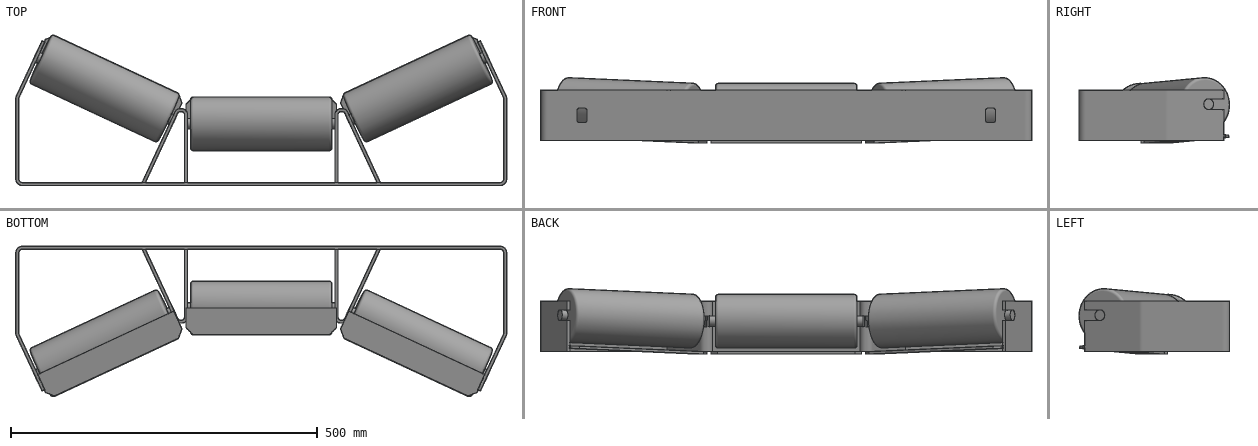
import cadquery as cq
import math

FRAME_LENGTH = 800.0
BAR_HEIGHT = 82.0
BAR_THICKNESS = 5.2
FRAME_BEND_RADIUS = 11.0
BRACKET_BEND_RADIUS = 10.0

MOUNT_SLOT_SPACING = 666.0
MOUNT_SLOT_WIDTH = 17.0
MOUNT_SLOT_HEIGHT = 24.0
MOUNT_SLOT_CORNER = 5.0

ROLLER_RADIUS = 44.0
ROLLER_LENGTH = 230.0
ROLLER_END_FILLET = 5.0
SHAFT_DIAMETER = 18.0
SUPPORT_GAP = 5.0
WALL_DISTANCE = ROLLER_LENGTH / 2 + SUPPORT_GAP
SHAFT_LENGTH = 2 * (WALL_DISTANCE + BAR_THICKNESS)

CENTRE_PLACE = (0.0, 101.0, 50.0)
WING_X = 255.0
WING_PLACE_Y = 158.0
WING_PLACE_Z = 54.0
TROUGH_ANGLE = 25.0
TILT_ANGLE = 2.3

GUARD_LENGTH = 246.0
GUARD_WIDTH = 43.0
GUARD_THICKNESS = 4.0
GUARD_CORNER_CHAMFER = 11.0
WING_GUARD_SHIFT = 2.0
GUARD_TOP_BELOW_AXIS = CENTRE_PLACE[2]

ARM_LENGTH = 102.0
BRACKET_TOP_Y = 126.0

TROUGH_COS = math.cos(math.radians(TROUGH_ANGLE))
TROUGH_SIN = math.sin(math.radians(TROUGH_ANGLE))


def place_roller_part(part, side, drop=0.0):
    """Move a part from roller coordinates (axis on X) to the left (-1), centre (0) or right (1) roller.

    The part is tilted about its own middle before it drops below the roller axis.
    """
    if side == 0:
        return part.translate((0, 0, -drop)).translate(CENTRE_PLACE)
    origin = (0, 0, 0)
    tilted = part.rotate(origin, (0, 1, 0), -side * TILT_ANGLE)
    swung = tilted.translate((0, 0, -drop)).rotate(origin, (0, 0, 1), side * TROUGH_ANGLE)
    return swung.translate((side * WING_X, WING_PLACE_Y, WING_PLACE_Z))


def bent_bar(path, outside_radius):
    """Bend a flat bar along a path that is its left-hand face and turns right at every bend."""
    headings = [math.atan2(b[1] - a[1], b[0] - a[0]) for a, b in zip(path, path[1:])]
    before = [headings[0]] + headings
    after = headings + [headings[-1]]
    inside = []
    for (x, y), heading_in, heading_out in zip(path, before, after):
        middle = (heading_in + heading_out) / 2
        reach = BAR_THICKNESS / math.cos((heading_out - heading_in) / 2)
        inside.append((x + reach * math.sin(middle), y - reach * math.cos(middle)))
    bar = cq.Workplane("XY").polyline(path + inside[::-1]).close().extrude(BAR_HEIGHT)
    for corners, radius in ((path, outside_radius), (inside, outside_radius - BAR_THICKNESS)):
        for x, y in corners[1:-1]:
            bar = bar.edges(cq.NearestToPointSelector((x, y, BAR_HEIGHT / 2))).fillet(radius)
    return bar


def x_cylinder(radius, length):
    """Cylinder along X, centred on the origin."""
    return cq.Workplane("YZ").workplane(offset=-length / 2).circle(radius).extrude(length)


def make_roller():
    """Barrel with rounded ends, in one piece with its shaft."""
    barrel = x_cylinder(ROLLER_RADIUS, ROLLER_LENGTH).faces("<X or >X").edges().fillet(ROLLER_END_FILLET)
    shaft = x_cylinder(SHAFT_DIAMETER / 2, SHAFT_LENGTH)
    return barrel.union(shaft)


def make_guard(side):
    """Flat plate under the +Y half of the roller, with its two far corners cut off."""
    plate = cq.Workplane("XY").box(GUARD_LENGTH, GUARD_WIDTH, GUARD_THICKNESS, centered=(True, False, False))
    plate = plate.edges("|Z and >Y").chamfer(GUARD_CORNER_CHAMFER)
    return plate.translate((-side * WING_GUARD_SHIFT, 0, -GUARD_THICKNESS))


def make_shaft_slots():
    """Cutter for the open-ended slots at both ends of a shaft, running out toward +Y."""
    wall_middle = WALL_DISTANCE + BAR_THICKNESS / 2
    slot_reach = 3 * ROLLER_RADIUS
    cutter_depth = 2 * BAR_THICKNESS
    round_end = x_cylinder(SHAFT_DIAMETER / 2, cutter_depth)
    run_out = cq.Workplane("XY").box(cutter_depth, slot_reach, SHAFT_DIAMETER, centered=(True, False, True))
    slot = round_end.union(run_out)
    return slot.translate((-wall_middle, 0, 0)).union(slot.translate((wall_middle, 0, 0)))


def make_frame():
    """Long bar with both ends bent forward and again inward, each arm square to its wing roller."""
    half = FRAME_LENGTH / 2
    outer_face = WALL_DISTANCE + BAR_THICKNESS
    bend_y = WING_PLACE_Y + (outer_face - (half - WING_X) * TROUGH_COS) / TROUGH_SIN
    tip = (half - ARM_LENGTH * TROUGH_SIN, bend_y + ARM_LENGTH * TROUGH_COS)
    right = [tip, (half, bend_y), (half, 0)]
    left = [(-x, y) for x, y in right[::-1]]
    frame = bent_bar(right + left, FRAME_BEND_RADIUS)
    slot_places = [(side * MOUNT_SLOT_SPACING / 2, 0, BAR_HEIGHT / 2) for side in (-1, 1)]
    mount_slot = cq.Workplane("XY").box(MOUNT_SLOT_WIDTH, 4 * BAR_THICKNESS, MOUNT_SLOT_HEIGHT)
    mount_slot = mount_slot.edges("|Y").fillet(MOUNT_SLOT_CORNER)
    for place in slot_places:
        frame = frame.cut(mount_slot.translate(place))
    return frame


def make_bracket(side):
    """Bar folded over into a straight leg by the centre roller and a slanted leg by a wing roller."""
    def slanted_x(y):
        """X, at a given Y, of the leg's face on the wing roller's side."""
        return WING_X - (WALL_DISTANCE + (y - WING_PLACE_Y) * TROUGH_SIN) / TROUGH_COS

    path = [
        (WALL_DISTANCE, 0),
        (WALL_DISTANCE, BRACKET_TOP_Y),
        (slanted_x(BRACKET_TOP_Y), BRACKET_TOP_Y),
        (slanted_x(-BAR_THICKNESS), -BAR_THICKNESS),
    ]
    bracket = bent_bar(path, BRACKET_BEND_RADIUS)
    trim_depth = 4 * BAR_THICKNESS
    trim = cq.Workplane("XY").box(FRAME_LENGTH, trim_depth, BAR_HEIGHT, centered=(True, False, False))
    bracket = bracket.cut(trim.translate((0, BAR_THICKNESS - trim_depth, 0)))
    return bracket if side > 0 else bracket.mirror("YZ")


SIDES = (-1, 0, 1)
rollers = [place_roller_part(make_roller(), side) for side in SIDES]
guards = [place_roller_part(make_guard(side), side, GUARD_TOP_BELOW_AXIS) for side in SIDES]

frame = make_frame()
brackets = [make_bracket(side) for side in (-1, 1)]

for side in SIDES:
    slots = place_roller_part(make_shaft_slots(), side)
    frame = frame.cut(slots)
    brackets = [bracket.cut(slots) for bracket in brackets]
for guard in guards:
    frame = frame.cut(guard)
    brackets = [bracket.cut(guard) for bracket in brackets]

bodies = [frame, *brackets, *rollers, *guards]
result = cq.Compound.makeCompound([body.val() for body in bodies])